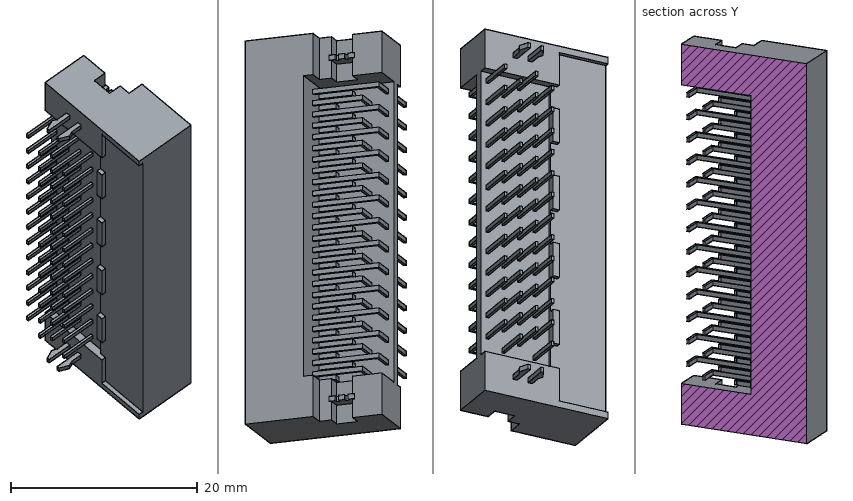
import cadquery as cq

LENGTH = 43.05
WIDTH = 15.0
BODY_DEPTH = 7.55
TOTAL_DEPTH = 10.8

EAR_HEIGHT = 4.65
EAR_WIDTH = 9.05
EAR_DEPTH = 5.65
EAR_STEP_X = 7.2
FLANGE_THICKNESS = 0.78
HOUSING_X = 8.25
HOUSING_FRONT_Y = 0.5

WALL_FRONT_Y = 0.9
WALL_THICKNESS = 1.08

TAB_COUNT = 4
TAB_LENGTH = 4.0
TAB_PITCH = 2 * TAB_LENGTH

ROW_COUNT = 26
ROW_SPAN = 31.75
ROW_PITCH = ROW_SPAN / (ROW_COUNT - 1)
FIRST_COLUMN_X = 0.78
COLUMN_PITCH = 1.5 * ROW_PITCH
PIN_THICKNESS = 0.3
PIN_HEIGHT = 0.5
PIN_TIP_Y = BODY_DEPTH - TOTAL_DEPTH
OUTER_PIN_BACK_Y = 4.82
INNER_PIN_BACK_Y = OUTER_PIN_BACK_Y - COLUMN_PITCH

LOCK_X = FIRST_COLUMN_X + 2 * COLUMN_PITCH
LOCK_Z = LENGTH / 2 - 2.35
LOCK_THICKNESS = 0.55
LOCK_HEAD_WIDTH = 2.95
LOCK_BACK_Y = 5.75
LOCK_NOTCH_WIDTH = 2.4
LOCK_NOTCH_FLOOR_Y = 4.1
LOCK_SLOT_WIDTH = 0.4
LOCK_SLOT_DEPTH = 0.4
LOCK_SLOT_SPACING = 1.08
PRONG_INNER = 0.65
PRONG_OUTER = 1.15
PRONG_BULGE = 1.4
PRONG_TIP = 0.95
BULGE_START_Y = -1.35
BULGE_PEAK_Y = -1.95
PRONG_TIP_Y = -3.0


def box(x_range, y_range, z_range):
    """Box between the given limits on each axis."""
    sizes = [high - low for low, high in (x_range, y_range, z_range)]
    corner = (x_range[0], y_range[0], z_range[0])
    return cq.Workplane("XY").box(*sizes, centered=False).translate(corner)


def centred(middle, size):
    """Limits of a span of the given size about its middle."""
    return (middle - size / 2, middle + size / 2)


def plate(points, z_middle, thickness):
    """Outline in X and Y given thickness about a Z level."""
    base = cq.Workplane("XY").workplane(offset=z_middle - thickness / 2)
    return base.polyline(points).close().extrude(thickness)


def make_housing():
    housing = box((HOUSING_X, WIDTH), (HOUSING_FRONT_Y, BODY_DEPTH), centred(0, LENGTH))
    wall_y = (WALL_FRONT_Y, WALL_FRONT_Y + WALL_THICKNESS)
    housing = housing.union(box((0, HOUSING_X), wall_y, centred(0, LENGTH)))
    for index in range(TAB_COUNT):
        z_middle = (index - (TAB_COUNT - 1) / 2) * TAB_PITCH
        tab = box((HOUSING_X, EAR_WIDTH), (0, WALL_FRONT_Y), centred(z_middle, TAB_LENGTH))
        housing = housing.union(tab)
    return housing


def make_top_ear():
    ear_z = (LENGTH / 2 - EAR_HEIGHT, LENGTH / 2)
    flange_z = (LENGTH / 2 - FLANGE_THICKNESS, LENGTH / 2)
    ear = box((0, EAR_WIDTH), (0, EAR_DEPTH), ear_z)
    ear = ear.union(box((EAR_STEP_X, EAR_WIDTH), (0, BODY_DEPTH), ear_z))
    ear = ear.union(box((EAR_STEP_X, WIDTH), (0, BODY_DEPTH), flange_z))
    notch = box(centred(LOCK_X, LOCK_NOTCH_WIDTH), (LOCK_NOTCH_FLOOR_Y, EAR_DEPTH), ear_z)
    return ear.cut(notch)


def make_top_lock():
    lock_z = centred(LOCK_Z, LOCK_THICKNESS)
    lock = box(centred(LOCK_X, LOCK_HEAD_WIDTH), (LOCK_NOTCH_FLOOR_Y, LOCK_BACK_Y), lock_z)
    for side in (-1, 1):
        slot_x = centred(LOCK_X + side * LOCK_SLOT_SPACING / 2, LOCK_SLOT_WIDTH)
        lock = lock.cut(box(slot_x, (LOCK_BACK_Y - LOCK_SLOT_DEPTH, LOCK_BACK_Y), lock_z))
        prong = [
            (LOCK_X + side * PRONG_INNER, LOCK_NOTCH_FLOOR_Y),
            (LOCK_X + side * PRONG_OUTER, LOCK_NOTCH_FLOOR_Y),
            (LOCK_X + side * PRONG_OUTER, BULGE_START_Y),
            (LOCK_X + side * PRONG_BULGE, BULGE_PEAK_Y),
            (LOCK_X + side * PRONG_TIP, PRONG_TIP_Y),
            (LOCK_X + side * PRONG_INNER, PRONG_TIP_Y),
        ]
        lock = lock.union(plate(prong, LOCK_Z, LOCK_THICKNESS))
    return lock


def make_pin(column, back_y, z_middle):
    """L-shaped pin from the housing to its tip in front of the board face."""
    left, right = centred(FIRST_COLUMN_X + column * COLUMN_PITCH, PIN_THICKNESS)
    outline = [
        (left, PIN_TIP_Y),
        (left, back_y),
        (HOUSING_X, back_y),
        (HOUSING_X, back_y - PIN_THICKNESS),
        (right, back_y - PIN_THICKNESS),
        (right, PIN_TIP_Y),
    ]
    return plate(outline, z_middle, PIN_HEIGHT)


def make_pins():
    pins = []
    for row in range(ROW_COUNT):
        z_middle = ROW_SPAN / 2 - row * ROW_PITCH
        outer_column = row % 2
        pins.append(make_pin(outer_column, OUTER_PIN_BACK_Y, z_middle).val())
        pins.append(make_pin(outer_column + 2, INNER_PIN_BACK_Y, z_middle).val())
    return cq.Workplane(cq.Compound.makeCompound(pins))


top_end = make_top_ear().union(make_top_lock())
result = make_housing().union(top_end).union(top_end.mirror("XY")).union(make_pins())